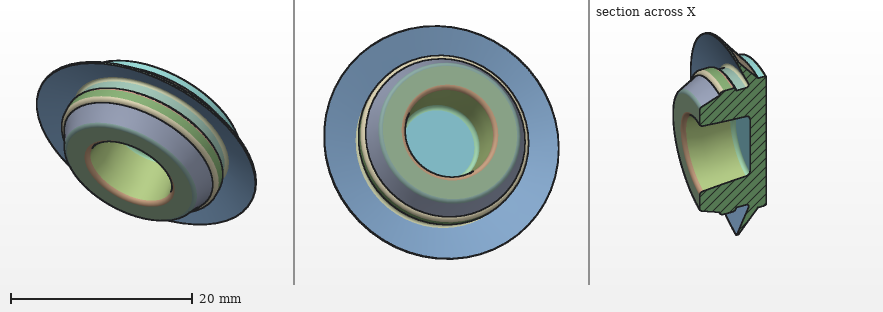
import cadquery as cq

length = 8.0

disc_radius = 9.95
disc_thickness = 1.0
disc_edge_fillet = 0.3

lip_radius = 13.25
lip_edge_start = 3.35
lip_edge_end = 3.6
lip_root_depth = 2.0
lip_root_fillet = 0.3

bead_radius = 9.5
bead_fillet = 0.5
bead_start = 3.6
bead_end = 5.6
neck_radius = bead_radius - bead_fillet

nose_tip_radius = 7.9
nose_edge_fillet = 0.5

bore_mouth_radius = 5.0
bore_floor_radius = 4.5
bore_floor_depth = 2.0
bore_mouth_fillet = 0.5
bore_floor_fillet = 0.5

selection_margin = 0.01


def revolved(points):
    """Solid of revolution about Y from (radius, distance from the back face) points."""
    outline = [(radius, -distance) for radius, distance in points]
    return cq.Workplane("XY").polyline(outline).close().revolve(360, (0, 0), (0, 1))


def circles_within(radius, distance):
    """Selector for circular edges up to the given radius at a distance from the back face."""
    return cq.selectors.BoxSelector(
        (-radius - selection_margin, -distance - selection_margin, -radius - selection_margin),
        (radius + selection_margin, -distance + selection_margin, radius + selection_margin),
        boundingbox=True,
    )


def round_circle(body, radius, distance, fillet):
    """Fillet the largest circular edge within the given radius at a distance from the back face."""
    outermost = cq.selectors.RadiusNthSelector(-1)
    return body.edges(circles_within(radius, distance)).edges(outermost).fillet(fillet)


def make_bead():
    """Disc with both rims rounded."""
    bead = revolved([
        (0, bead_start),
        (bead_radius, bead_start),
        (bead_radius, bead_end),
        (0, bead_end),
    ])
    return bead.edges().fillet(bead_fillet)


def make_body():
    """Outer form: back disc, hollow lip, neck, bead and nose."""
    body = revolved([
        (0, 0),
        (disc_radius, 0),
        (disc_radius, disc_thickness),
        (lip_radius, lip_edge_start),
        (lip_radius, lip_edge_end),
        (neck_radius, lip_root_depth),
        (neck_radius, bead_end),
        (nose_tip_radius, length),
        (0, length),
    ])
    body = round_circle(body, disc_radius, 0, disc_edge_fillet)
    body = body.union(make_bead())
    body = round_circle(body, neck_radius, lip_root_depth, lip_root_fillet)
    return round_circle(body, nose_tip_radius, length, nose_edge_fillet)


def cut_bore(body):
    """Cut the blind bore, rounded at its floor and its mouth."""
    bore = revolved([
        (0, bore_floor_depth),
        (bore_floor_radius, bore_floor_depth),
        (bore_mouth_radius, length),
        (0, length),
    ])
    bore = round_circle(bore, bore_floor_radius, bore_floor_depth, bore_floor_fillet)
    body = body.cut(bore)
    return round_circle(body, bore_mouth_radius, length, bore_mouth_fillet)


result = cut_bore(make_body())